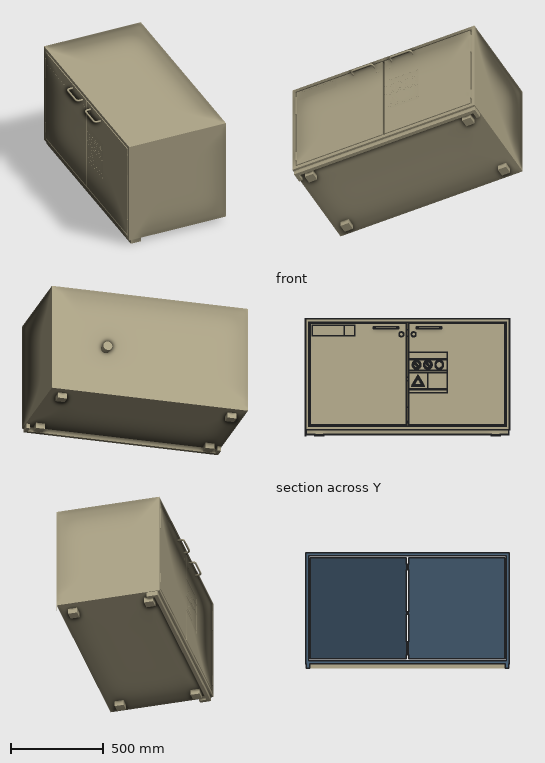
import cadquery as cq
import math


CABINET_WIDTH = 1102.0
CABINET_DEPTH = 574.0
CABINET_HEIGHT = 600.0
FOOT_HEIGHT = 30.88
CABINET_TOP = FOOT_HEIGHT + CABINET_HEIGHT
HALF_WIDTH = CABINET_WIDTH / 2

FRAME_WIDTH = 19.0
OPENING_WIDTH = CABINET_WIDTH - 2 * FRAME_WIDTH
OPENING_BOTTOM = FOOT_HEIGHT + FRAME_WIDTH
OPENING_HEIGHT = CABINET_HEIGHT - 2 * FRAME_WIDTH
DOOR_THICKNESS = 50.0

DOOR_GAP = 7.0
CENTRE_GAP = 11.0
DOOR_WIDTH = (OPENING_WIDTH - CENTRE_GAP) / 2 - DOOR_GAP
DOOR_HEIGHT = OPENING_HEIGHT - 2 * DOOR_GAP
DOOR_BOTTOM = OPENING_BOTTOM + DOOR_GAP
DOOR_TOP = DOOR_BOTTOM + DOOR_HEIGHT
DOOR_INNER_EDGE = CENTRE_GAP / 2
DOOR_OUTER_EDGE = DOOR_INNER_EDGE + DOOR_WIDTH

LOCK_DIAMETER = 25.0
LOCK_OFFSET = 27.5
LOCK_DROP = 85.0
LOCK_HEIGHT = 1.0

HINGE_DEPTH = 25.0
HINGES = [(92.0, 61.0), (442.0, 126.0)]

KEEPER_DEPTH = 20.0
KEEPERS = [(77.0, 75.0), (296.0, 18.0), (536.0, 33.0)]
KEEPER_STEP = 7.0

HANDLE_DIAMETER = 10.0
HANDLE_PITCH = 128.0
HANDLE_REACH = 39.0
HANDLE_BEND = 15.0
HANDLE_X = 116.0
HANDLE_Z = CABINET_TOP - 50.0

PIPE_DIAMETER = 50.0
PIPE_LENGTH = 45.0
PIPE_X = 250.0
PIPE_Z = FOOT_HEIGHT + 265.0

FOOT_WIDTH = 50.0
FOOT_INSET = 75.0
PLINTH_HEIGHT = 26.0
PLINTH_SIDE_INSET = 4.0
PLINTH_SETBACK = 12.0
PLINTH_DEPTH = 61.0
PLINTH_WALL = 20.0
CORNER_PIN_SIZE = 1.0

LABEL_DEPTH = 0.5
LABEL_LINE = 1.0
LABEL_BAND = 3.6
BRAND_MARGIN = 11.0
BRAND_WIDTH = 172.0
BRAND_BADGE = 57.0

SAFETY_WIDTH = 208.0
SAFETY_TOP = 449.5
TITLE_STRIP = 36.0
SIGN_STRIP = 57.0
NOTE_STRIP = 11.0
RATING_STRIP = 86.0
BOTTOM_STRIP = 18.0
RATING_SPLIT = 104.0

SIGN_DIAMETER = 45.0
BAN_INNER_DIAMETER = 33.8
DUTY_INNER_DIAMETER = 37.8
SIGN_PITCH = 61.0
FIRST_SIGN_X = 43.5
SLASH_WIDTH = 5.0
SLASH_ANGLE = 45.0
TRIANGLE_X = 51.0
TRIANGLE_SIDE = 67.0
TRIANGLE_BORDER = 6.5
TRIANGLE_BASE_RISE = 15.0


def box(x_min, x_max, y_min, y_max, z_min, z_max):
    """Axis-aligned box between the given limits."""
    size = (x_max - x_min, y_max - y_min, z_max - z_min)
    return cq.Workplane("XY").box(*size, centered=False).translate((x_min, y_min, z_min))


def front_plane(y=0.0):
    """Sketch plane parallel to the front: local x is X, local y is Z, normal is -Y."""
    return cq.Workplane("XZ", origin=(0, y, 0))



def make_plinth():
    """Front board with a short return at each end, so the feet stand clear behind it."""
    half = HALF_WIDTH - PLINTH_SIDE_INSET
    back = PLINTH_SETBACK + PLINTH_DEPTH
    bottom = FOOT_HEIGHT - PLINTH_HEIGHT
    outer = box(-half, half, PLINTH_SETBACK, back, bottom, FOOT_HEIGHT)
    inner_half = half - PLINTH_WALL
    space = box(-inner_half, inner_half, PLINTH_SETBACK + PLINTH_WALL, back, bottom, FOOT_HEIGHT)
    return outer.cut(space)


def make_keepers():
    """Blocks on the floor of the opening, seen in the gap between the doors."""
    keepers = cq.Workplane("XY")
    half = CENTRE_GAP / 2
    for bottom, height in KEEPERS:
        front = DOOR_THICKNESS - KEEPER_DEPTH
        keepers = keepers.add(box(-half, half, front, DOOR_THICKNESS, bottom, bottom + height))
    lowest = KEEPERS[0][0]
    step = box(-half, half, DOOR_THICKNESS - KEEPER_DEPTH / 2, DOOR_THICKNESS,
               lowest - KEEPER_STEP, lowest)
    return keepers.add(step).combine()


def make_cabinet():
    body = box(-HALF_WIDTH, HALF_WIDTH, 0, CABINET_DEPTH, FOOT_HEIGHT, CABINET_TOP)
    half = OPENING_WIDTH / 2
    opening = box(-half, half, 0, DOOR_THICKNESS, OPENING_BOTTOM, OPENING_BOTTOM + OPENING_HEIGHT)
    pipe = (
        front_plane(CABINET_DEPTH)
        .center(PIPE_X, PIPE_Z)
        .circle(PIPE_DIAMETER / 2)
        .extrude(-PIPE_LENGTH)
    )
    corner_pin = box(-HALF_WIDTH, -HALF_WIDTH + CORNER_PIN_SIZE,
                     CABINET_DEPTH - CORNER_PIN_SIZE, CABINET_DEPTH, 0, FOOT_HEIGHT)
    return body.cut(opening).union(make_keepers()).union(pipe).union(make_plinth()).union(corner_pin)



def make_door(side):
    """Plain door with its lock and round-nosed hinges; side is -1 for left, +1 for right."""
    edges = sorted((side * DOOR_INNER_EDGE, side * DOOR_OUTER_EDGE))
    door = box(*edges, 0, DOOR_THICKNESS, DOOR_BOTTOM, DOOR_TOP)

    lock_x = side * (DOOR_INNER_EDGE + LOCK_OFFSET)
    lock_z = CABINET_TOP - LOCK_DROP
    door = door.union(
        front_plane().center(lock_x, lock_z).circle(LOCK_DIAMETER / 2).extrude(LOCK_HEIGHT)
    )

    radius = DOOR_GAP / 2
    hinge_x = side * (DOOR_OUTER_EDGE + radius)
    for bottom, length in HINGES:
        barrel = cq.Workplane("XY", origin=(hinge_x, 0, bottom)).circle(radius).extrude(length)
        leaf = box(hinge_x - radius, hinge_x + radius, 0, HINGE_DEPTH, bottom, bottom + length)
        door = door.union(barrel.union(leaf))
    return door


def make_panel(x_min, x_max, z_min, z_max):
    """Shallow label recess in the front of a door."""
    return box(x_min, x_max, 0, LABEL_DEPTH, z_min, z_max)


def add_brand_labels(door):
    """Wide name plate with a square badge beside it, near the top of the left door."""
    left = -DOOR_OUTER_EDGE + BRAND_MARGIN
    top = DOOR_TOP - BRAND_MARGIN
    bottom = top - BRAND_BADGE
    plate_end = left + BRAND_WIDTH
    badge_start = plate_end + LABEL_LINE
    plate = make_panel(left, plate_end, bottom, top)
    badge = make_panel(badge_start, badge_start + BRAND_BADGE, bottom, top)
    return door.cut(plate).cut(badge)


def make_ring_sign(x, z, inner_diameter):
    """Ring standing in a label panel, level with the door face."""
    return (
        front_plane(LABEL_DEPTH)
        .center(x, z)
        .circle(SIGN_DIAMETER / 2)
        .circle(inner_diameter / 2)
        .extrude(LABEL_DEPTH)
    )


def make_ban_sign(x, z):
    """Ring crossed by a bar that falls to the right."""
    length = (SIGN_DIAMETER + BAN_INNER_DIAMETER) / 2
    slash = (
        front_plane(LABEL_DEPTH)
        .center(x, z)
        .transformed(rotate=(0, 0, -SLASH_ANGLE))
        .rect(length, SLASH_WIDTH)
        .extrude(LABEL_DEPTH)
    )
    return make_ring_sign(x, z, BAN_INNER_DIAMETER).union(slash)


def make_warning_triangle(x, base_z):
    """Frame of an equilateral triangle that points up."""
    in_radius = TRIANGLE_SIDE / (2 * math.sqrt(3))
    inner_radius = 2 * (in_radius - TRIANGLE_BORDER)

    def prism(corner_radius):
        angles = [math.radians(a) for a in (90, 210, 330)]
        corners = [(corner_radius * math.cos(a), corner_radius * math.sin(a)) for a in angles]
        plane = front_plane(LABEL_DEPTH).center(x, base_z + in_radius)
        return plane.polyline(corners).close().extrude(LABEL_DEPTH)

    return prism(2 * in_radius).cut(prism(inner_radius))


def add_safety_label(door):
    """Stack of panels with three round signs and a warning triangle, beside the centre gap."""
    left = DOOR_INNER_EDGE
    right = left + SAFETY_WIDTH

    title_bottom = SAFETY_TOP - TITLE_STRIP
    sign_top = title_bottom - LABEL_BAND
    sign_bottom = sign_top - SIGN_STRIP
    note_top = sign_bottom - LABEL_BAND
    note_bottom = note_top - NOTE_STRIP
    rating_top = note_bottom - LABEL_LINE
    rating_bottom = rating_top - RATING_STRIP
    last_top = rating_bottom - LABEL_BAND
    split = left + RATING_SPLIT
    panels = [
        make_panel(left, right, title_bottom, SAFETY_TOP),
        make_panel(left, right, sign_bottom, sign_top),
        make_panel(left, right, note_bottom, note_top),
        make_panel(left, split, rating_bottom, rating_top),
        make_panel(split + LABEL_LINE, right, rating_bottom, rating_top),
        make_panel(left, right, last_top - BOTTOM_STRIP, last_top),
    ]

    sign_z = (sign_top + sign_bottom) / 2
    sign_x = [left + FIRST_SIGN_X + i * SIGN_PITCH for i in range(3)]
    signs = [
        make_ban_sign(sign_x[0], sign_z),
        make_ban_sign(sign_x[1], sign_z),
        make_ring_sign(sign_x[2], sign_z, DUTY_INNER_DIAMETER),
        make_warning_triangle(left + TRIANGLE_X, rating_bottom + TRIANGLE_BASE_RISE),
    ]

    for panel in panels:
        door = door.cut(panel)
    for sign in signs:
        door = door.union(sign)
    return door



def make_handle(centre_x):
    """Round bar bent into a bow, its ends resting on the door face."""
    half = HANDLE_PITCH / 2
    axis_y = -HANDLE_REACH + HANDLE_DIAMETER / 2
    bend_y = axis_y + HANDLE_BEND
    bend_x = half - HANDLE_BEND
    bend_mid = HANDLE_BEND * math.sqrt(0.5)
    path = (
        cq.Workplane("XY", origin=(centre_x, 0, HANDLE_Z))
        .moveTo(-half, 0)
        .lineTo(-half, bend_y)
        .threePointArc((-bend_x - bend_mid, bend_y - bend_mid), (-bend_x, axis_y))
        .lineTo(bend_x, axis_y)
        .threePointArc((bend_x + bend_mid, bend_y - bend_mid), (half, bend_y))
        .lineTo(half, 0)
    )
    profile = front_plane().center(centre_x - half, HANDLE_Z).circle(HANDLE_DIAMETER / 2)
    return profile.sweep(path)


def make_foot(x, y):
    return cq.Workplane("XY").center(x, y).rect(FOOT_WIDTH, FOOT_WIDTH).extrude(FOOT_HEIGHT)


cabinet = make_cabinet()
left_door = add_brand_labels(make_door(-1))
right_door = add_safety_label(make_door(1))
handles = [make_handle(side * HANDLE_X) for side in (-1, 1)]
feet = [
    make_foot(side * (HALF_WIDTH - FOOT_INSET), y)
    for side in (-1, 1)
    for y in (FOOT_INSET, CABINET_DEPTH - FOOT_INSET)
]

result = cq.Compound.makeCompound([
    cabinet.val(),
    left_door.val(),
    right_door.val(),
    *[handle.val() for handle in handles],
    *[foot.val() for foot in feet],
])